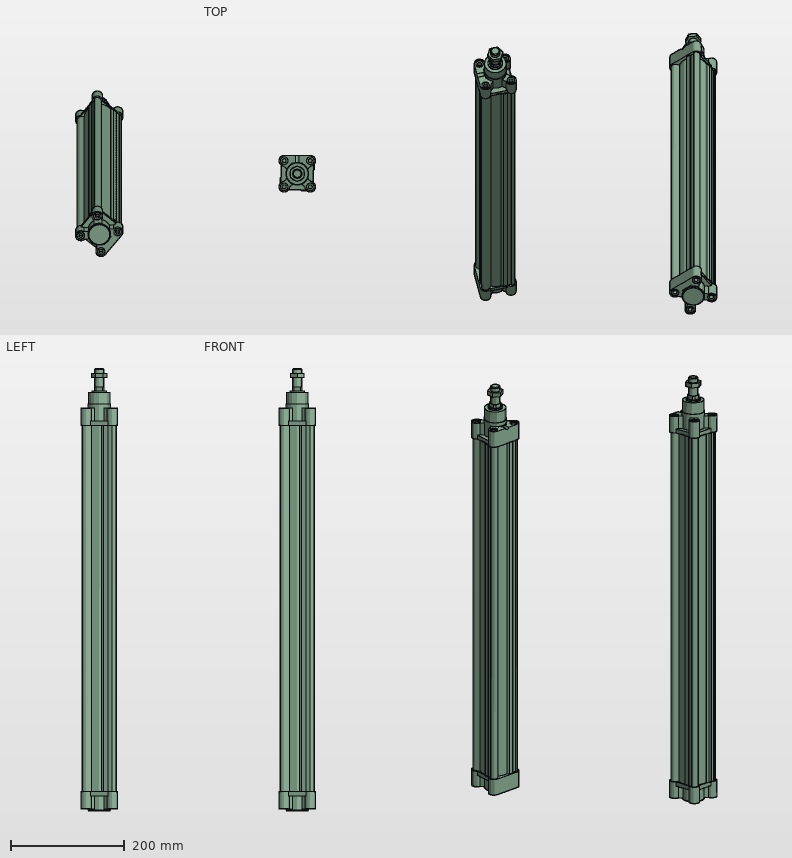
import cadquery as cq
import math

total_length = 779.0
post_pitch = 46.0
tie_offset = post_pitch / 2
post_radius = 9.0
cap_half_width = tie_offset + post_radius
rear_boss_height = 4.0
boss_chamfer = 1.5
cap_height = 30.0
flange_thickness = 8.0
front_cap_top = 709.0
rear_cap_top = rear_boss_height + cap_height
front_cap_bottom = front_cap_top - cap_height

flange_width = 57.0
collar_radius = 40.0 / 2
web_width = 14.0
port_block_depth = 13.0
screw_recess_diameter = 13.0
screw_recess_depth = 1.5
screw_hole_diameter = 7.0
screw_hole_depth = 12.0
groove_diameter = 7.0

collar_step = 716.0
neck_radius = 38.0 / 2
collar_top = 737.0
seal_radius = 26.0 / 2
seal_height = 2.0
seal_top = collar_top + seal_height

barrel_radius = 54.0 / 2
lobe_radius = 7.0
lobe_web_width = 14.0
pad_inner = 4.3
pad_slope = 3.0
sensor_slot_centre = 19.0
sensor_slot_width = 7.0
sensor_slot_depth = 1.5

rod_diameter = 20.0
rod_flat_width = 17.0
thread_diameter = 16.0
thread_chamfer = 1.5
thread_start = 746.0
rod_bottom = front_cap_bottom
nut_flats = 24.0
nut_bottom = 763.0
nut_height = 8.0

corners = [(sx * tie_offset, sy * tie_offset) for sx in (-1, 1) for sy in (-1, 1)]


def cylinder(radius, bottom, top):
    return cq.Workplane("XY").workplane(offset=bottom).circle(radius).extrude(top - bottom)


def square_bar(width, height):
    return cq.Workplane("XY").rect(width, width).extrude(height)


def turned(shape, angle):
    """Copy turned about the Z axis."""
    return shape.rotate((0, 0, 0), (0, 0, 1), angle)


def diagonal_webs(width, height):
    """Two crossed bars that join the four corners through the axis."""
    length = 2 * math.sqrt(2) * tie_offset
    bar = cq.Workplane("XY").rect(length, width).extrude(height)
    return turned(bar, 45).union(turned(bar, -45))


def end_cap():
    """Cap with its flange at Z = 0 and the screw recesses in its upper face."""
    flange = square_bar(flange_width, flange_thickness)
    flange = flange.edges("|Z").chamfer(flange_width / 2 - tie_offset)
    posts = cq.Workplane("XY").pushPoints(corners).circle(post_radius).extrude(cap_height)
    block = (
        cq.Workplane("XY")
        .center(0, cap_half_width - port_block_depth / 2)
        .rect(2 * tie_offset, port_block_depth)
        .extrude(cap_height)
    )
    cap = cylinder(collar_radius, 0, cap_height).union(diagonal_webs(web_width, cap_height))
    cap = cap.union(flange).union(posts).union(block)

    top = cq.Workplane("XY").workplane(offset=cap_height).pushPoints(corners)
    cap = cap.cut(top.circle(screw_recess_diameter / 2).extrude(-screw_recess_depth))
    return cap.cut(top.circle(screw_hole_diameter / 2).extrude(-screw_hole_depth))


def front_cap():
    """Cap at the rod end, with a half-round groove across the top of its +Y block."""
    groove = (
        cq.Workplane("XZ", origin=(0, cap_half_width, cap_height))
        .circle(groove_diameter / 2)
        .extrude(cap_half_width - collar_radius)
    )
    return end_cap().cut(groove).translate((0, 0, front_cap_bottom))


def rear_cap():
    """Mirrored cap with a short chamfered boss below it."""
    cap = end_cap().mirror("XY").translate((0, 0, rear_cap_top))
    boss = cylinder(collar_radius, 0, rear_boss_height).faces("<Z").chamfer(boss_chamfer)
    return cap.union(boss)


def collar():
    """Stepped collar that rises through the front cap and carries the rod seal."""
    lower = cylinder(collar_radius, front_cap_bottom, collar_step)
    neck = cylinder(neck_radius, collar_step, collar_top)
    seal = cylinder(seal_radius, collar_top, seal_top)
    return lower.union(neck).union(seal)


def profile_tube():
    """Round barrel with four corner lobes and, on each side, a pad with a sensor slot."""
    length = front_cap_bottom - rear_cap_top
    side_face = tie_offset + lobe_radius
    tube = cq.Workplane("XY").circle(barrel_radius).extrude(length)
    tube = tube.union(diagonal_webs(lobe_web_width, length))
    tube = tube.union(cq.Workplane("XY").pushPoints(corners).circle(lobe_radius).extrude(length))
    pad = (
        cq.Workplane("XY")
        .moveTo(pad_inner, -side_face + pad_slope)
        .lineTo(pad_inner + pad_slope, -side_face)
        .lineTo(tie_offset, -side_face)
        .lineTo(tie_offset, -tie_offset)
        .lineTo(pad_inner, -tie_offset)
        .close()
        .extrude(length)
    )
    slot = (
        cq.Workplane("XY")
        .center(sensor_slot_centre, -side_face)
        .rect(sensor_slot_width, 2 * sensor_slot_depth)
        .extrude(length)
    )
    quarter_turns = (0, 90, 180, 270)
    for angle in quarter_turns:
        tube = tube.union(turned(pad, angle))
    for angle in quarter_turns:
        tube = tube.cut(turned(slot, angle))
    return tube.translate((0, 0, rear_cap_top))


def make_cylinder_body():
    """Tube, both caps and collar in one piece, bored for the rod."""
    body = profile_tube().union(front_cap()).union(rear_cap()).union(collar())
    return body.cut(cylinder(rod_diameter / 2, rod_bottom, seal_top))


def make_piston_rod():
    """Rod with four wrench flats below its threaded end."""
    shank = cylinder(rod_diameter / 2, rod_bottom, seal_top)
    wrench_zone = cylinder(rod_diameter / 2, seal_top, thread_start)
    wrench_zone = wrench_zone.intersect(square_bar(rod_flat_width, total_length))
    thread = cylinder(thread_diameter / 2, thread_start, total_length).faces(">Z").chamfer(thread_chamfer)
    return shank.union(wrench_zone).union(thread)


def make_nut():
    """Hexagon nut with two corners on the Y axis."""
    across_corners = nut_flats / math.cos(math.pi / 6)
    nut = cq.Workplane("XY").workplane(offset=nut_bottom).polygon(6, across_corners).extrude(nut_height)
    nut = turned(nut, 90)
    return nut.cut(cylinder(thread_diameter / 2, nut_bottom, nut_bottom + nut_height))


cylinder_body = make_cylinder_body()
piston_rod = make_piston_rod()
nut = make_nut()

result = cq.Compound.makeCompound([cylinder_body.val(), piston_rod.val(), nut.val()])